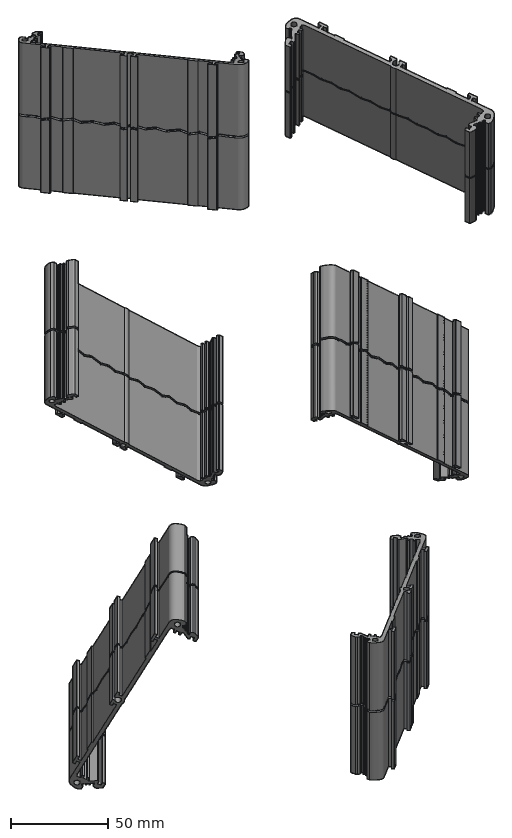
import cadquery as cq

LENGTH = 80.0

FLOOR_THICKNESS = 2.2
FLOOR_HALF_WIDTH = 57.5
RAIL_DEPTH = 3.4
RAIL_CAP_THICKNESS = 1.6
RAIL_CAP_WIDTH = 5.1
RAIL_CHAMFER = 0.2
RAIL_STEM_WIDTH = 1.5
RAIL_OFFSET = 44.6
PAD_WIDTH = 5.5
PAD_HEIGHT = 0.6
PAD_OFFSET = 33.3

CHANNEL_BORE = 3.3
CHANNEL_CENTER_Y = -0.7
CHANNEL_BOSS = 6.7
CHANNEL_STEM_WIDTH = 6.4
CHANNEL_SLOT_WIDTH = 1.8
CHANNEL_CAP_WIDTH = 9.2

ARM_TOP = 18.0
ARM_INNER_FACE = 53.7
ARM_RECESS_FACE = 54.1
ARM_TIP = 51.9
HEAD_SLOT_BOTTOM = 14.3
HEAD_SLOT_TOP = 16.3
EDGE_CHAMFER = 0.4
FOOT_TOP = 2.7
FOOT_START = 52.5
SHOULDER_TOP = 8.5
OVERALL_HALF_WIDTH = 61.3

TONGUE_TIP = 52.2
TONGUE_THICKNESS = 1.1
TONGUE_BOTTOMS = (4.9, 7.8)

BARB_COUNT = 2
BARB_OUTLINE = [(54.9, 11), (56.0, 11.3), (56.3, 10.8), (55.7, 10.2), (55.2, 10.2)]
BARB_STEP_OUT = 0.9
BARB_STEP_DOWN = 1.6

SCREW_HOLE = 3.1
SCREW_HOLE_OFFSET = 57.7
SCREW_HOLE_Y = 4.5

GAP = 1.0
FLOOR_BREAK = [
    (-62.5, 0), (-55.2, 0), (-51.9, 0.2), (-48.2, -0.2), (-43.4, 0.9), (-37.5, -0.4), (-31.4, 1.0),
    (-26.6, -0.6), (-20.1, 0.5), (-13.9, -0.4), (-8.7, 0.9), (-2.8, -0.4), (2.5, 0.5), (8.0, -0.6),
    (13.5, 0.5), (19.0, -0.6), (26.4, 0.7), (31.3, -0.7), (36.8, 0.5), (43.0, -0.6), (47.5, 0.2),
    (51.5, 0), (62.5, 0),
]
ARM_BREAK_WAVE = 0.2
ARM_BREAK_START = 16.3
ARM_BREAK_STEP = 2.6
ARM_BREAK_TURNS = 5
CUT_MARGIN = 2.5

JOINT_INNER = 54.5
JOINT_OUTER = 55.5
JOINT_BOTTOM = 0.6
JOINT_TOP = 1.8
JOINT_LENGTH = 4 * GAP


def bar(x_min, x_max, y_min, y_max, length=LENGTH):
    """Rectangular bar along Z, centred on mid length."""
    return (
        cq.Workplane("XY")
        .box(x_max - x_min, y_max - y_min, length)
        .translate(((x_min + x_max) / 2, (y_min + y_max) / 2, 0))
    )


def centered_bar(center_x, width, y_min, y_max):
    return bar(center_x - width / 2, center_x + width / 2, y_min, y_max)


def side_bar(side, inner, outer, y_min, y_max, length=LENGTH):
    """Bar between two distances from the centre line, on side -1 or +1."""
    x_min, x_max = sorted((side * inner, side * outer))
    return bar(x_min, x_max, y_min, y_max, length)


def rod(x, y, diameter):
    return cq.Workplane("XY").center(x, y).circle(diameter / 2).extrude(LENGTH / 2, both=True)


def floor():
    plate = bar(-FLOOR_HALF_WIDTH, FLOOR_HALF_WIDTH, 0, FLOOR_THICKNESS)
    cap_top = RAIL_CAP_THICKNESS - RAIL_DEPTH
    for side in (-1, 1):
        rail_x = side * RAIL_OFFSET
        plate = plate.union(centered_bar(rail_x, RAIL_STEM_WIDTH, cap_top, FLOOR_THICKNESS))
        cap = centered_bar(rail_x, RAIL_CAP_WIDTH, -RAIL_DEPTH, cap_top)
        plate = plate.union(cap.faces("<Y").edges("|Z").chamfer(RAIL_CHAMFER))
        plate = plate.union(centered_bar(side * PAD_OFFSET, PAD_WIDTH, -PAD_HEIGHT, FLOOR_THICKNESS))
    return plate


def add_screw_channel(body):
    cap_top = RAIL_CAP_THICKNESS - RAIL_DEPTH
    below_floor = centered_bar(0, CHANNEL_BOSS, -CHANNEL_BOSS, 0)
    body = body.union(rod(0, CHANNEL_CENTER_Y, CHANNEL_BOSS).cut(below_floor))
    body = body.union(centered_bar(0, CHANNEL_STEM_WIDTH, cap_top, FLOOR_THICKNESS))
    body = body.union(centered_bar(0, CHANNEL_CAP_WIDTH, -RAIL_DEPTH, cap_top))
    body = body.cut(centered_bar(0, CHANNEL_SLOT_WIDTH, -RAIL_DEPTH - CUT_MARGIN, CHANNEL_CENTER_Y))
    return body.cut(rod(0, CHANNEL_CENTER_Y, CHANNEL_BORE))


def arm(side):

    def at(distance, y):
        return (side * distance, y)

    profile = (
        cq.Workplane("XY")
        .moveTo(*at(FLOOR_HALF_WIDTH, 0))
        .lineTo(*at(FOOT_START, 0))
        .lineTo(*at(FOOT_START, FLOOR_THICKNESS))
        .lineTo(*at(ARM_RECESS_FACE, FOOT_TOP))
        .lineTo(*at(ARM_RECESS_FACE, 4.4))
        .lineTo(*at(ARM_INNER_FACE, 4.8))
        .lineTo(*at(ARM_INNER_FACE, 8.8))
        .lineTo(*at(ARM_RECESS_FACE, 9.2))
        .lineTo(*at(ARM_RECESS_FACE, 9.9))
        .lineTo(*at(ARM_TIP, 13.2))
        .lineTo(*at(ARM_TIP, HEAD_SLOT_BOTTOM - EDGE_CHAMFER))
        .lineTo(*at(ARM_TIP + EDGE_CHAMFER, HEAD_SLOT_BOTTOM))
        .lineTo(*at(ARM_INNER_FACE, HEAD_SLOT_BOTTOM))
        .lineTo(*at(ARM_INNER_FACE, HEAD_SLOT_TOP))
        .lineTo(*at(ARM_TIP, HEAD_SLOT_TOP))
        .lineTo(*at(ARM_TIP, ARM_TOP - EDGE_CHAMFER))
        .lineTo(*at(ARM_TIP + EDGE_CHAMFER, ARM_TOP))
        .lineTo(*at(54.8, ARM_TOP))
        .lineTo(*at(55.4, 17.4))
        .lineTo(*at(56.6, 15.1))
        .lineTo(*at(56.6, 14.0))
        .lineTo(*at(55.9, 12.9))
        .lineTo(*at(54.3, 12.9))
        .lineTo(*at(54.3, 12.5))
        .lineTo(*at(57.0, 8.3))
        .lineTo(*at(57.0, 7.7))
        .lineTo(*at(57.6, 7.4))
        .lineTo(*at(58.0, 7.4))
        .lineTo(*at(58.5, 7.8))
        .lineTo(*at(58.5, SHOULDER_TOP))
        .lineTo(*at(60.5, SHOULDER_TOP))
        .lineTo(*at(OVERALL_HALF_WIDTH, 7.0))
        .lineTo(*at(OVERALL_HALF_WIDTH, 5.5))
        .lineTo(*at(61.2, 4.8))
        .lineTo(*at(60.5, 2.5))
        .threePointArc(at(59.5, 1.0), at(FLOOR_HALF_WIDTH, 0))
        .close()
    )
    body = profile.extrude(LENGTH / 2, both=True)

    for bottom in TONGUE_BOTTOMS:
        body = body.union(
            side_bar(side, TONGUE_TIP, ARM_RECESS_FACE, bottom, bottom + TONGUE_THICKNESS)
        )
    for index in range(BARB_COUNT):
        out = index * BARB_STEP_OUT
        down = index * BARB_STEP_DOWN
        corners = [at(distance + out, y - down) for distance, y in BARB_OUTLINE]
        barb = cq.Workplane("XY").polyline(corners).close()
        body = body.union(barb.extrude(LENGTH / 2, both=True))
    return body.cut(rod(side * SCREW_HOLE_OFFSET, SCREW_HOLE_Y, SCREW_HOLE))


def gap_outline(plane, line):
    """Closed band of height GAP that follows a line of (across, Z) points."""
    lower = [(across, z - GAP / 2) for across, z in line]
    upper = [(across, z + GAP / 2) for across, z in line]
    return cq.Workplane(plane).polyline(lower + upper[::-1]).close()


def floor_gap():
    """Gap through the floor and everything below the foot of the arms."""
    depth = FOOT_TOP + RAIL_DEPTH + CUT_MARGIN
    return gap_outline("XZ", FLOOR_BREAK).extrude(depth).translate((0, FOOT_TOP, 0))


def arm_gap():
    line = [(ARM_TOP + CUT_MARGIN, 0)]
    for turn in range(ARM_BREAK_TURNS):
        wave = ARM_BREAK_WAVE if turn % 2 else -ARM_BREAK_WAVE
        line.append((ARM_BREAK_START - turn * ARM_BREAK_STEP, wave))
    line.append((FOOT_TOP, 0))
    reach = OVERALL_HALF_WIDTH + CUT_MARGIN
    return gap_outline("YZ", line).extrude(reach, both=True)


extrusion = add_screw_channel(floor())
extrusion = extrusion.union(arm(-1)).union(arm(1))
result = extrusion.cut(floor_gap()).cut(arm_gap())
for corner_side in (-1, 1):
    result = result.union(
        side_bar(corner_side, JOINT_INNER, JOINT_OUTER, JOINT_BOTTOM, JOINT_TOP, JOINT_LENGTH)
    )